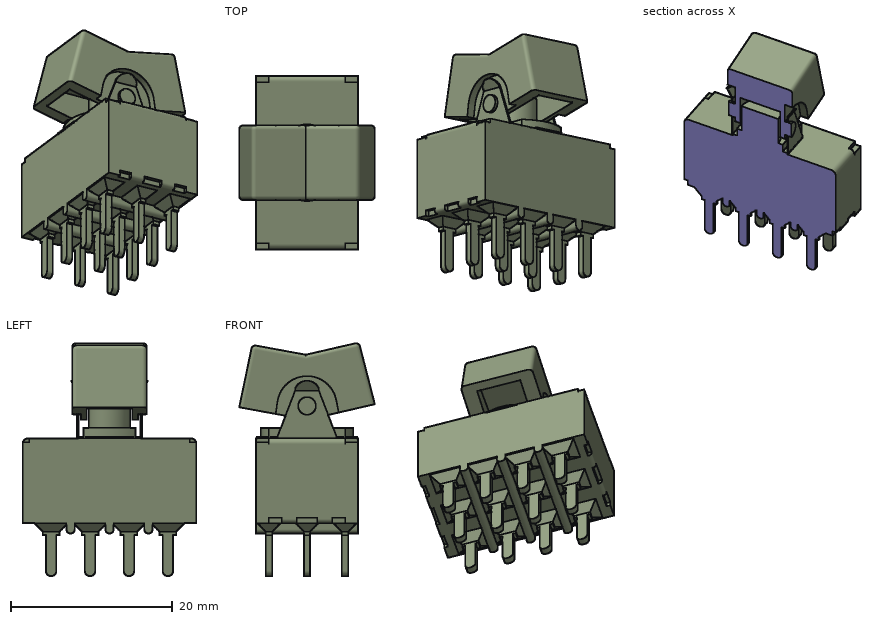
import cadquery as cq
import math

HOUSING_X = 12.7
HOUSING_Y = 21.6
FLOOR_Z = 6.6
ROOF_Z = 17.15

COVER_WIDTH = 9.5
COVER_BEND_RADIUS = 0.7
STEP_DEPTH = 0.8
STEP_DROP = 0.5
TAB_SLOT_HEIGHT = 0.7
TAB_SLOT_DEPTH = 0.5
TAB_BEND_RADIUS = 0.5
TAB_INNER_X = 1.25
TAB_OUTER_X = 3.13

PIN_PITCH_X = 4.72
PIN_PITCH_Y = 4.83
PIN_ROWS_Y = 4
OUTER_PIN_THICKNESS = 0.85
MIDDLE_PIN_THICKNESS = 0.75
PIN_WIDTH = 1.33
COLLAR_WIDTH = 2.1
COLLAR_BOTTOM_Z = 5.1
MOUND_HEIGHT = 1.05
RIB_WIDTH = 1.05
RIB_BOTTOM_Z = 5.3

PLATE_THICKNESS = 0.2
PLATE_HALF_X = 6.22
PLATE_CORNER_Y = 2.03
BRACKET_HALF_Y = 4.05
LEG_FOOT_HALF_X = 3.68
LEG_TOP_HALF_X = 1.48
LEG_TOP_Z = 23.05
TIP_DIAMETER = 3.2
TIP_TOP_Z = 24.3
TIP_REACH = 0.72

FLANGE_DIAMETER = 11.52
FLANGE_WIDTH_Y = 6.5
FLANGE_TOP_Z = 18.45
BARREL_DIAMETER = 5.2
BARREL_TOP_Z = 22.3

PIVOT_Z = 21.15
PIVOT_DIAMETER = 2.2
PIVOT_HALF_LENGTH = 4.45
ROCKER_TILT = 1.3
ROCKER_WIDTH_Y = 9.3
ROCKER_LENGTH_X = 16.88
ROCKER_KEEL = 1.75
ROCKER_VALLEY = 6.37
WING_ANGLE = 11.7
END_ANGLE = 13.1
ROCKER_FILLET = 0.52
RECESS_RADIUS = 3.7
RECESS_FLARE = 9.6
RECESS_WALL_HALF_Y = 3.55
CAVITY_HALF_X = 7.35
CAVITY_HALF_Y = 2.8
CAVITY_ROOF = 2.32

PLATE_TOP_Z = ROOF_Z + PLATE_THICKNESS


def box(x0, x1, y0, y1, z0, z1):
    """Box between two opposite corners."""
    return cq.Workplane("XY").box(x1 - x0, y1 - y0, z1 - z0, centered=False).translate((x0, y0, z0))


def both_ends(shape):
    """The shape together with its mirror image across the XZ plane."""
    return shape.union(shape.mirror("XZ"))


def make_housing():
    half_x = HOUSING_X / 2
    half_y = HOUSING_Y / 2
    half_cover = COVER_WIDTH / 2
    body = box(-half_x, half_x, -half_y, half_y, FLOOR_Z, ROOF_Z)
    body = body.edges("|X and >Z").fillet(COVER_BEND_RADIUS)

    step_y = half_y - STEP_DEPTH
    step_z = ROOF_Z - STEP_DROP
    for x0, x1 in ((-half_x, -half_cover), (half_cover, half_x)):
        ledge = box(x0, x1, -half_y, -step_y, step_z - COVER_BEND_RADIUS, step_z)
        body = body.cut(both_ends(box(x0, x1, -half_y, -step_y, step_z, ROOF_Z)))
        body = body.union(both_ends(ledge))

    slot_y = half_y - TAB_SLOT_DEPTH
    slot_top = FLOOR_Z + TAB_SLOT_HEIGHT
    body = body.cut(both_ends(box(-half_cover, half_cover, -half_y, -slot_y, FLOOR_Z, slot_top)))
    for x0, x1 in ((-TAB_OUTER_X, -TAB_INNER_X), (TAB_INNER_X, TAB_OUTER_X)):
        tab = (
            cq.Workplane("YZ", origin=(x0, 0, 0))
            .moveTo(-half_y, slot_top)
            .lineTo(-half_y, FLOOR_Z + TAB_BEND_RADIUS)
            .radiusArc((-slot_y, FLOOR_Z), -TAB_BEND_RADIUS)
            .lineTo(-slot_y, slot_top)
            .close()
            .extrude(x1 - x0)
        )
        body = body.union(both_ends(tab))
    return body


def make_rib(y):
    """Round-bottomed rib along X under the housing floor."""
    radius = RIB_WIDTH / 2
    shoulder_z = RIB_BOTTOM_Z + radius
    return (
        cq.Workplane("YZ", origin=(-HOUSING_X / 2, 0, 0))
        .moveTo(y - radius, FLOOR_Z)
        .lineTo(y - radius, shoulder_z)
        .threePointArc((y, RIB_BOTTOM_Z), (y + radius, shoulder_z))
        .lineTo(y + radius, FLOOR_Z)
        .close()
        .extrude(HOUSING_X)
    )


def make_terminal(x, y, thickness):
    """Pin with a round tip, its collar and the 45 degree mound above it."""
    radius = PIN_WIDTH / 2
    half_collar = COLLAR_WIDTH / 2
    blade = (
        cq.Workplane("YZ", origin=(-thickness / 2, 0, 0))
        .moveTo(-half_collar, FLOOR_Z)
        .lineTo(-half_collar, COLLAR_BOTTOM_Z)
        .lineTo(-radius, COLLAR_BOTTOM_Z)
        .lineTo(-radius, radius)
        .threePointArc((0, 0), (radius, radius))
        .lineTo(radius, COLLAR_BOTTOM_Z)
        .lineTo(half_collar, COLLAR_BOTTOM_Z)
        .lineTo(half_collar, FLOOR_Z)
        .close()
        .extrude(thickness)
    )
    mound = (
        cq.Workplane("XY", origin=(0, 0, FLOOR_Z - MOUND_HEIGHT))
        .rect(thickness, COLLAR_WIDTH)
        .workplane(offset=MOUND_HEIGHT)
        .rect(thickness + 2 * MOUND_HEIGHT, COLLAR_WIDTH + 2 * MOUND_HEIGHT)
        .loft()
    )
    return blade.union(mound).translate((x, y, 0))


def make_leg():
    """Tapered bracket leg on the -Y side, with its outward-flared tip."""
    leg_outline = (
        cq.Workplane("XZ")
        .polyline([
            (-LEG_FOOT_HALF_X, ROOF_Z),
            (-LEG_FOOT_HALF_X, PLATE_TOP_Z),
            (-LEG_TOP_HALF_X, LEG_TOP_Z),
            (LEG_TOP_HALF_X, LEG_TOP_Z),
            (LEG_FOOT_HALF_X, PLATE_TOP_Z),
            (LEG_FOOT_HALF_X, ROOF_Z),
        ])
        .close()
        .extrude(BRACKET_HALF_Y)
    )
    inner_y = PLATE_THICKNESS - BRACKET_HALF_Y
    bent_sheet = (
        cq.Workplane("YZ", origin=(-LEG_FOOT_HALF_X, 0, 0))
        .moveTo(inner_y, ROOF_Z)
        .radiusArc((-BRACKET_HALF_Y, PLATE_TOP_Z), PLATE_THICKNESS)
        .lineTo(-BRACKET_HALF_Y, LEG_TOP_Z)
        .lineTo(inner_y, LEG_TOP_Z)
        .close()
        .extrude(2 * LEG_FOOT_HALF_X)
    )
    leg = bent_sheet.intersect(leg_outline)
    flare = (
        cq.Workplane("YZ", origin=(-LEG_TOP_HALF_X, 0, 0))
        .polyline([
            (-BRACKET_HALF_Y, LEG_TOP_Z),
            (-BRACKET_HALF_Y - TIP_REACH, TIP_TOP_Z),
            (-BRACKET_HALF_Y - TIP_REACH + PLATE_THICKNESS, TIP_TOP_Z),
            (-BRACKET_HALF_Y + PLATE_THICKNESS, LEG_TOP_Z),
        ])
        .close()
        .extrude(2 * LEG_TOP_HALF_X)
    )
    tip_outline = (
        cq.Workplane("XZ")
        .center(0, TIP_TOP_Z - TIP_DIAMETER / 2)
        .circle(TIP_DIAMETER / 2)
        .extrude(HOUSING_Y / 2)
    )
    return leg.union(flare.intersect(tip_outline))


def make_bracket():
    edge_y = BRACKET_HALF_Y - PLATE_THICKNESS
    corners = [(LEG_FOOT_HALF_X, edge_y), (PLATE_HALF_X, PLATE_CORNER_Y)]
    right_side = corners + [(x, -y) for x, y in reversed(corners)]
    left_side = [(-x, y) for x, y in reversed(right_side)]
    plate = (
        cq.Workplane("XY", origin=(0, 0, ROOF_Z))
        .polyline(right_side + left_side)
        .close()
        .extrude(PLATE_THICKNESS)
    )
    return plate.union(both_ends(make_leg()))


def make_bushing():
    flange = (
        cq.Workplane("XY", origin=(0, 0, ROOF_Z))
        .circle(FLANGE_DIAMETER / 2)
        .extrude(FLANGE_TOP_Z - ROOF_Z)
        .intersect(cq.Workplane("XY").box(FLANGE_DIAMETER, FLANGE_WIDTH_Y, 2 * FLANGE_TOP_Z))
    )
    barrel = (
        cq.Workplane("XY", origin=(0, 0, ROOF_Z))
        .circle(BARREL_DIAMETER / 2)
        .extrude(BARREL_TOP_Z - ROOF_Z)
    )
    return flange.union(barrel)


def make_recess():
    """Arched pocket on the -Y face of the rocker, flaring towards the bottom."""
    flare = math.radians(RECESS_FLARE)
    tangent_x = RECESS_RADIUS * math.cos(flare)
    tangent_z = RECESS_RADIUS * math.sin(flare)
    bottom_z = -RECESS_RADIUS
    bottom_x = tangent_x + (tangent_z - bottom_z) * math.tan(flare)
    return (
        cq.Workplane("XZ", origin=(0, -RECESS_WALL_HALF_Y, 0))
        .moveTo(-bottom_x, bottom_z)
        .lineTo(-tangent_x, tangent_z)
        .threePointArc((0, RECESS_RADIUS), (tangent_x, tangent_z))
        .lineTo(bottom_x, bottom_z)
        .close()
        .extrude(ROCKER_WIDTH_Y)
    )


def make_rocker():
    """Rocker cap with its pivot pin, tilted about the pivot."""
    wing = math.tan(math.radians(WING_ANGLE))
    end = math.tan(math.radians(END_ANGLE))
    half_x = ROCKER_LENGTH_X / 2
    lip_z = half_x * wing - ROCKER_KEEL
    corner_x = (half_x - end * (ROCKER_VALLEY - lip_z)) / (1 + end * wing)
    corner_z = ROCKER_VALLEY + corner_x * wing
    rocker = (
        cq.Workplane("XZ", origin=(0, ROCKER_WIDTH_Y / 2, 0))
        .polyline([
            (0, -ROCKER_KEEL),
            (half_x, lip_z),
            (corner_x, corner_z),
            (0, ROCKER_VALLEY),
            (-corner_x, corner_z),
            (-half_x, lip_z),
        ])
        .close()
        .extrude(ROCKER_WIDTH_Y)
    )
    rounded = [
        edge for edge in rocker.edges().vals()
        if edge.Center().z > ROCKER_FILLET and abs(edge.Center().x) > ROCKER_FILLET
    ]
    rocker = rocker.newObject(rounded).fillet(ROCKER_FILLET)
    rocker = rocker.cut(both_ends(make_recess()))
    pin = cq.Workplane("XZ").circle(PIVOT_DIAMETER / 2).extrude(PIVOT_HALF_LENGTH, both=True)
    cavity = box(
        -CAVITY_HALF_X, CAVITY_HALF_X,
        -CAVITY_HALF_Y, CAVITY_HALF_Y,
        -ROCKER_VALLEY, CAVITY_ROOF,
    )
    rocker = rocker.union(pin).cut(cavity)
    return rocker.rotate((0, 0, 0), (0, 1, 0), -ROCKER_TILT).translate((0, 0, PIVOT_Z))


result = make_housing()

first_row_y = -PIN_PITCH_Y * (PIN_ROWS_Y - 1) / 2
for row in range(PIN_ROWS_Y):
    row_y = first_row_y + row * PIN_PITCH_Y
    for column in (-1, 0, 1):
        blade_thickness = OUTER_PIN_THICKNESS if column else MIDDLE_PIN_THICKNESS
        result = result.union(make_terminal(column * PIN_PITCH_X, row_y, blade_thickness))
    if row > 0:
        result = result.union(make_rib(row_y - PIN_PITCH_Y / 2))

result = result.union(make_bracket()).union(make_bushing()).union(make_rocker())